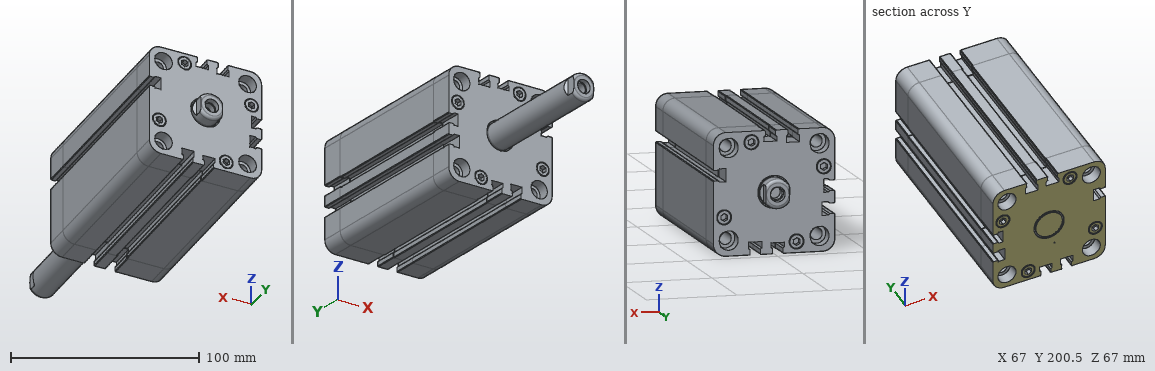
import cadquery as cq
import math

TOTAL_LENGTH = 200.5
BODY_SIDE = 67.0
CORNER_RADIUS = 6.8
CAP_LENGTH = 14.5
REAR_STUB = 7.5
FRONT_STUB = 77.5
BODY_LENGTH = TOTAL_LENGTH - REAR_STUB - FRONT_STUB
FRONT_FACE = -BODY_LENGTH / 2
REAR_FACE = BODY_LENGTH / 2
FRONT_TIP = FRONT_FACE - FRONT_STUB
REAR_TIP = REAR_FACE + REAR_STUB

SLOT_MOUTH = 5.6
SLOT_WIDTH = 7.2
LIP_DEPTH = 2.8
MOUTH_CHAMFER = 0.5
OUTER_SLOT = -10.5
CAP_SLOTS = ((OUTER_SLOT, 7.0), (2.0, 6.0))
TUBE_SLOTS = ((OUTER_SLOT, 6.6), (1.6, 6.6))
TOP, LEFT, BOTTOM, RIGHT = 0, 90, 180, 270

ROD_DIAMETER = 16.0
ROD_END_RADIUS = 1.8
FLATS_WIDTH = 12.8
FLATS_LENGTH = 5.5
THREAD_DIAMETER = 6.6
THREAD_DEPTH = 16.0
THREAD_MOUTH_DIAMETER = 8.0
THREAD_MOUTH_DEPTH = 3.5
DRILL_POINT_ANGLE = 118.0
RING_DIAMETER = 17.6
RING_DEPTH = 1.0

MOUNT_OFFSET = 25.0
MOUNT_DIAMETER = 6.6
MOUNT_BORE_DIAMETER = 10.5
MOUNT_BORE_DEPTH = 6.8

SCREW_ALONG = 12.5
SCREW_OUT = 27.5
SCREW_HEAD_DIAMETER = 7.5
SCREW_BORE_DIAMETER = 8.0
SCREW_GAP_DEPTH = 1.0
SOCKET_ACROSS_FLATS = 3.6
SOCKET_DEPTH = 3.0


def plane_at(y):
    """Sketch plane across the axis: sketch x is -X, sketch y is +Z, extrusion is +Y."""
    return cq.Workplane(cq.Plane(origin=(0, y, 0), xDir=(-1, 0, 0), normal=(0, 1, 0)))


def turned(shape, angle):
    """Turn from the top side toward the -X side, about the Y axis."""
    return shape.rotate((0, 0, 0), (0, 1, 0), -angle)


def slot_cutter(center, depth, start, length):
    """T-slot in the top side, with a chamfered mouth and sloping lip undersides."""
    half_mouth = SLOT_MOUTH / 2
    half_width = SLOT_WIDTH / 2
    half_profile = [
        (half_mouth + MOUTH_CHAMFER, 0),
        (half_mouth, MOUTH_CHAMFER),
        (half_mouth, LIP_DEPTH),
        (half_width, LIP_DEPTH + half_width - half_mouth),
        (half_width, depth),
    ]
    top = BODY_SIDE / 2
    one_edge = [(-center - across, top - down) for across, down in half_profile]
    other_edge = [(-center + across, top - down) for across, down in reversed(half_profile)]
    return plane_at(start).polyline(one_edge + other_edge).close().extrude(length)


def body_section(start, length, slots):
    section = plane_at(start).rect(BODY_SIDE, BODY_SIDE).extrude(length)
    section = section.edges("|Y").fillet(CORNER_RADIUS)
    for side in (TOP, LEFT, BOTTOM, RIGHT):
        side_slots = slots[:1] if side == RIGHT else slots
        for center, depth in side_slots:
            section = section.cut(turned(slot_cutter(center, depth, start, length), side))
    return section


def body():
    tube_length = BODY_LENGTH - 2 * CAP_LENGTH
    front_cap = body_section(FRONT_FACE, CAP_LENGTH, CAP_SLOTS)
    tube = body_section(FRONT_FACE + CAP_LENGTH, tube_length, TUBE_SLOTS)
    rear_cap = body_section(REAR_FACE - CAP_LENGTH, CAP_LENGTH, CAP_SLOTS)
    return front_cap.union(tube, clean=False).union(rear_cap, clean=False)




def ring_cutter(outer_diameter, inner_diameter, depth):
    return plane_at(0).circle(outer_diameter / 2).circle(inner_diameter / 2).extrude(depth)


def screw_cutter(side):
    """Gap around a flush screw head near one side, and its socket with a corner pointing up."""
    across_corners = SOCKET_ACROSS_FLATS / math.cos(math.radians(30))
    socket = plane_at(0).polygon(6, across_corners).extrude(SOCKET_DEPTH)
    gap = ring_cutter(SCREW_BORE_DIAMETER, SCREW_HEAD_DIAMETER, SCREW_GAP_DEPTH)
    screw = gap.union(turned(socket, 90 - side))
    return turned(screw.translate((SCREW_ALONG, 0, SCREW_OUT)), side)


def mount_cutter():
    """Counterbored hole in one corner, running to the middle of the body."""
    corner = plane_at(0).center(-MOUNT_OFFSET, MOUNT_OFFSET)
    hole = corner.circle(MOUNT_DIAMETER / 2).extrude(BODY_LENGTH / 2)
    return hole.union(corner.circle(MOUNT_BORE_DIAMETER / 2).extrude(MOUNT_BORE_DEPTH))


def thread_cutter():
    """Blind thread hole with a wider mouth and a drill point."""
    radius = THREAD_DIAMETER / 2
    mouth_radius = THREAD_MOUTH_DIAMETER / 2
    point = radius / math.tan(math.radians(DRILL_POINT_ANGLE / 2))
    profile = [
        (0, 0),
        (mouth_radius, 0),
        (mouth_radius, THREAD_MOUTH_DEPTH),
        (radius, THREAD_MOUTH_DEPTH),
        (radius, THREAD_DEPTH),
        (0, THREAD_DEPTH + point),
    ]
    return cq.Workplane("XY").polyline(profile).close().revolve(360, (0, 0, 0), (0, 1, 0))


def flat_cutter():
    """Wrench flat on the +X side of a rod tip, running out at 45 degrees."""
    flat_x = FLATS_WIDTH / 2
    reach = ROD_DIAMETER / 2
    profile = [
        (flat_x, 0),
        (flat_x, FLATS_LENGTH),
        (flat_x + reach, FLATS_LENGTH + reach),
        (flat_x + reach, 0),
    ]
    return cq.Workplane("XY").polyline(profile).close().extrude(reach, both=True)


def cut_both_ends(part, cutter, front_y, rear_y):
    part = part.cut(cutter.translate((0, front_y, 0)), clean=False)
    return part.cut(cutter.mirror("XZ").translate((0, rear_y, 0)), clean=False)


def rod():
    """Round-edged shaft with a thread hole and two wrench flats at each tip."""
    shaft = plane_at(FRONT_TIP).circle(ROD_DIAMETER / 2).extrude(TOTAL_LENGTH)
    shaft = shaft.faces("<Y or >Y").edges().fillet(ROD_END_RADIUS)
    for cutter in (thread_cutter(), flat_cutter(), flat_cutter().mirror("YZ")):
        shaft = cut_both_ends(shaft, cutter, FRONT_TIP, REAR_TIP)
    return shaft


result = body().union(rod(), clean=False)
result = cut_both_ends(
    result, ring_cutter(RING_DIAMETER, ROD_DIAMETER, RING_DEPTH), FRONT_FACE, REAR_FACE
)
for side in (TOP, LEFT, BOTTOM, RIGHT):
    result = cut_both_ends(result, turned(mount_cutter(), side), FRONT_FACE, REAR_FACE)
    result = cut_both_ends(result, screw_cutter(side), FRONT_FACE, REAR_FACE)